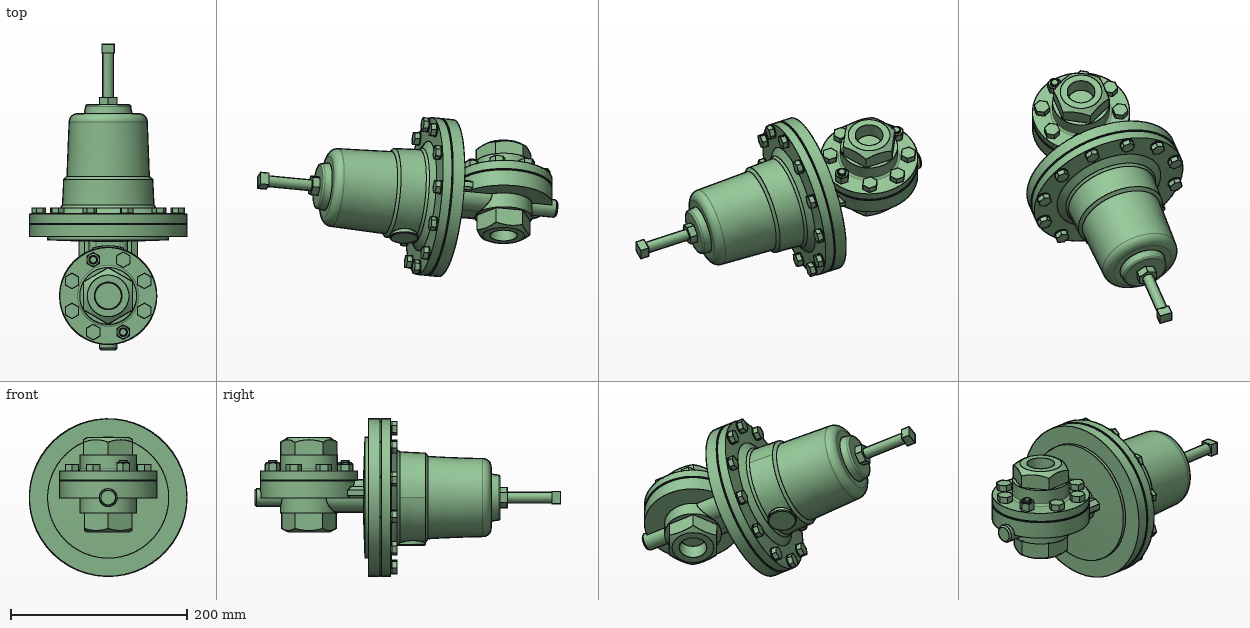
import cadquery as cq
import math


screw_end_y = 286.0
screw_head_length = 10.0
screw_head_side = 14.2
screw_radius = 6.3
lock_nut_flats = 20.0
lock_nut_height = 8.5
bonnet_top_y = 217.0
cap_top_radius = 25.7
cap_base_radius = 27.0
cap_edge_fillet = 2.0
shoulder_y = 207.0
dome_radius = 44.5
dome_round = 9.7
upper_base_y = 135.5
upper_base_radius = 47.0
step_y = 132.5
step_radius = 50.7
lower_base_y = 103.0
lower_base_radius = 52.0
flare_y = 100.0
flare_radius = 54.2
flare_foot_radius = 62.5

flange_radius = 89.5
flange_crown_y = 93.8
flange_rim_y = 92.7
joint_y = 81.5
joint_width = 1.5
joint_depth = 0.7
flange_front_y = 67.5
plate_radius = 68.8
plate_rim_y = 63.5
plate_center_y = 61.0

flange_bolt_count = 12
flange_bolt_circle = 81.5
flange_bolt_corners = 15.5
flange_bolt_top_y = 100.0
flange_bolt_twist = 6
bolt_pad_radius = 7.5
bolt_pad_y = 94.0

vent_y = (step_y + flare_y) / 2
vent_radius = (step_y - flare_y) / 2
vent_bottom_z = -54.2
vent_chamfer = 1.0

valve_radius = 55.2
cover_top_z = 30.2
cover_joint_z = 19.5
body_bottom_z = -0.5
neck_radius = 32.3
neck_flare = 2.5
upper_neck_top_z = 48.5
upper_hex_top_z = 68.5
upper_hex_flats = 55.5
upper_hex_bevel = 5.5
lower_neck_bottom_z = -17.5
lower_hex_bottom_z = -39.2
lower_hex_flats = 54.0
lower_hex_bevel = 4.0
hex_face_radius = 23.5
port_radius = 15.5
port_bottom_radius = 15.0
port_depth = 17.5

cover_bolt_count = 8
cover_bolt_circle = 44.5
cover_bolt_flats = 15.3
cover_bolt_height = 7.3
cover_nut_positions = (2, 6)
cover_nut_flats = 14.2
cover_nut_height = 9.5
cover_nut_bevel = 1.0
stud_radius = 5.0
stud_tip_z = 42.5
stud_chamfer = 1.0

saddle_half_width = 22.0
saddle_top_z = 20.5
saddle_round = 8.5
keel_half_width = 25.7
keel_bottom_z = -16.5
arm_clearance_radius = 57.0
wing_half_width = 33.5
wing_top_half_width = 26.7
wing_bottom_half_width = 30.5
wing_top_z = 13.0
wing_shoulder_z = 8.7
wing_side_bottom_z = 2.5

plug_radius = 10.0
plug_front_y = -61.5
plug_chamfer_length = 2.0
plug_face_radius = 8.5


def corners_from_flats(flats):
    return flats / math.cos(math.pi / 6)


def cylinder_y(radius, y_start, y_end, x=0):
    """Cylinder along Y."""
    return cq.Workplane("XZ", origin=(x, y_start, 0)).circle(radius).extrude(y_start - y_end)


def cylinder_z(radius, z_start, z_end, y=0):
    """Cylinder along Z."""
    return cq.Workplane("XY", origin=(0, y, z_start)).circle(radius).extrude(z_end - z_start)


def hex_z(flats, z_start, z_end):
    """Hexagonal prism along Z with flats facing +X and -X."""
    prism = cq.Workplane("XY").polygon(6, corners_from_flats(flats)).extrude(z_end - z_start)
    return prism.rotate((0, 0, 0), (0, 0, 1), 90).translate((0, 0, z_start))


def bevelled_hex_z(flats, z_start, z_end, face_radius, bevel):
    """Hexagonal prism along Z whose corners are turned off conically at z_end."""
    corner_radius = corners_from_flats(flats) / 2
    bevel_z = z_end - math.copysign(bevel, z_end - z_start)
    turned = (
        cq.Workplane("XZ")
        .moveTo(0, z_start)
        .lineTo(corner_radius, z_start)
        .lineTo(corner_radius, bevel_z)
        .lineTo(face_radius, z_end)
        .lineTo(0, z_end)
        .close()
        .revolve(360, (0, 0, 0), (0, 1, 0))
    )
    return hex_z(flats, z_start, z_end).intersect(turned)


def bonnet_and_flange():
    """Turned shape from the bonnet top to the front of the diaphragm plate."""
    round_mid = dome_round * math.sqrt(0.5)
    round_center_r = dome_radius - dome_round
    round_center_y = shoulder_y - dome_round
    groove_radius = flange_radius - joint_depth
    joint_back_y = joint_y + joint_width / 2
    joint_front_y = joint_y - joint_width / 2
    return (
        cq.Workplane("XY")
        .moveTo(0, bonnet_top_y)
        .lineTo(cap_top_radius - cap_edge_fillet, bonnet_top_y)
        .radiusArc((cap_top_radius, bonnet_top_y - cap_edge_fillet), cap_edge_fillet)
        .lineTo(cap_base_radius, shoulder_y)
        .lineTo(round_center_r, shoulder_y)
        .threePointArc(
            (round_center_r + round_mid, round_center_y + round_mid),
            (dome_radius, round_center_y),
        )
        .lineTo(upper_base_radius, upper_base_y)
        .lineTo(step_radius, step_y)
        .lineTo(lower_base_radius, lower_base_y)
        .lineTo(flare_radius, flare_y)
        .lineTo(flare_foot_radius, flange_crown_y)
        .lineTo(flange_radius, flange_rim_y)
        .lineTo(flange_radius, joint_back_y)
        .lineTo(groove_radius, joint_back_y)
        .lineTo(groove_radius, joint_front_y)
        .lineTo(flange_radius, joint_front_y)
        .lineTo(flange_radius, flange_front_y)
        .lineTo(plate_radius, flange_front_y)
        .lineTo(plate_radius, plate_rim_y)
        .lineTo(0, plate_center_y)
        .close()
        .revolve(360, (0, 0, 0), (0, 1, 0))
    )


def flange_bolts():
    """Ring of hex heads on round pads; each head has the same twist from its radius."""
    step = 360 / flange_bolt_count
    head = (
        cq.Workplane("XZ", origin=(flange_bolt_circle, joint_y, 0))
        .transformed(rotate=(0, 0, flange_bolt_twist))
        .polygon(6, flange_bolt_corners)
        .extrude(joint_y - flange_bolt_top_y)
    )
    pad = cylinder_y(bolt_pad_radius, joint_y + joint_width, bolt_pad_y, x=flange_bolt_circle)
    bolt = head.union(pad)
    ring = cq.Workplane("XY")
    for i in range(flange_bolt_count):
        ring = ring.union(bolt.rotate((0, 0, 0), (0, 1, 0), (i + 0.5) * step))
    return ring


def adjusting_screw():
    """Screw with square head and hex lock nut, standing on the bonnet."""
    rod = cylinder_y(screw_radius, shoulder_y, screw_end_y)
    head_start_y = screw_end_y - screw_head_length
    head = (
        cq.Workplane("XZ", origin=(0, head_start_y, 0))
        .rect(screw_head_side, screw_head_side)
        .extrude(-screw_head_length)
    )
    nut = (
        hex_z(lock_nut_flats, 0, lock_nut_height)
        .rotate((0, 0, 0), (1, 0, 0), -90)
        .translate((0, bonnet_top_y, 0))
    )
    return rod.union(head).union(nut)


def vent_boss():
    boss = cylinder_z(vent_radius, vent_bottom_z, 0, y=vent_y)
    return boss.faces("<Z").chamfer(vent_chamfer)


def valve_body():
    """Round body and cover with necks, hexagonal ends and the joint groove."""
    groove_radius = valve_radius - joint_depth
    joint_top_z = cover_joint_z + joint_width / 2
    joint_bottom_z = cover_joint_z - joint_width / 2
    turned = (
        cq.Workplane("XZ")
        .moveTo(0, upper_neck_top_z)
        .lineTo(neck_radius, upper_neck_top_z)
        .lineTo(neck_radius, cover_top_z + neck_flare)
        .radiusArc((neck_radius + neck_flare, cover_top_z), -neck_flare)
        .lineTo(valve_radius, cover_top_z)
        .lineTo(valve_radius, joint_top_z)
        .lineTo(groove_radius, joint_top_z)
        .lineTo(groove_radius, joint_bottom_z)
        .lineTo(valve_radius, joint_bottom_z)
        .lineTo(valve_radius, body_bottom_z)
        .lineTo(neck_radius, body_bottom_z)
        .lineTo(neck_radius, lower_neck_bottom_z)
        .lineTo(0, lower_neck_bottom_z)
        .close()
        .revolve(360, (0, 0, 0), (0, 1, 0))
    )
    upper_hex = bevelled_hex_z(
        upper_hex_flats, upper_neck_top_z, upper_hex_top_z, hex_face_radius, upper_hex_bevel
    )
    lower_hex = bevelled_hex_z(
        lower_hex_flats, lower_neck_bottom_z, lower_hex_bottom_z, hex_face_radius, lower_hex_bevel
    )
    return turned.union(upper_hex).union(lower_hex)


def port(face_z, bottom_z):
    """Slightly tapered pipe port."""
    return (
        cq.Workplane("XZ")
        .moveTo(0, face_z)
        .lineTo(port_radius, face_z)
        .lineTo(port_bottom_radius, bottom_z)
        .lineTo(0, bottom_z)
        .close()
        .revolve(360, (0, 0, 0), (0, 1, 0))
    )


def cover_bolt():
    return hex_z(cover_bolt_flats, cover_top_z, cover_top_z + cover_bolt_height)


def cover_stud_and_nut():
    nut = bevelled_hex_z(
        cover_nut_flats,
        cover_top_z,
        cover_top_z + cover_nut_height,
        cover_nut_flats / 2,
        cover_nut_bevel,
    )
    stud = cylinder_z(stud_radius, cover_top_z, stud_tip_z).faces(">Z").chamfer(stud_chamfer)
    return nut.union(stud)


def cover_fasteners():
    """Ring of hex heads with two opposite stud nuts; all hexagons keep one orientation."""
    ring = cq.Workplane("XY")
    for i in range(cover_bolt_count):
        angle = (i + 0.5) * 2 * math.pi / cover_bolt_count
        place = (cover_bolt_circle * math.cos(angle), cover_bolt_circle * math.sin(angle), 0)
        fastener = cover_stud_and_nut() if i in cover_nut_positions else cover_bolt()
        ring = ring.union(fastener.translate(place))
    return ring


def arm():
    """Arm along Y: a saddle on top, wings at both sides and a round keel below."""
    keel_round = body_bottom_z - keel_bottom_z
    saddle_center_x = saddle_half_width - saddle_round
    saddle_center_z = saddle_top_z - saddle_round
    keel_center_x = keel_half_width - keel_round
    saddle_mid = saddle_round * math.sqrt(0.5)
    keel_mid = keel_round * math.sqrt(0.5)
    half = (
        cq.Workplane("XZ")
        .moveTo(0, saddle_top_z)
        .lineTo(saddle_center_x, saddle_top_z)
        .threePointArc(
            (saddle_center_x + saddle_mid, saddle_center_z + saddle_mid),
            (saddle_half_width, saddle_center_z),
        )
        .lineTo(saddle_half_width, wing_shoulder_z)
        .lineTo(keel_half_width, body_bottom_z)
        .threePointArc(
            (keel_center_x + keel_mid, body_bottom_z - keel_mid),
            (keel_center_x, keel_bottom_z),
        )
        .lineTo(0, keel_bottom_z)
        .close()
        .extrude(-flange_front_y)
    )
    wing = (
        cq.Workplane("XZ")
        .moveTo(0, wing_top_z)
        .lineTo(wing_top_half_width, wing_top_z)
        .lineTo(wing_half_width, wing_shoulder_z)
        .lineTo(wing_half_width, wing_side_bottom_z)
        .lineTo(wing_bottom_half_width, body_bottom_z)
        .lineTo(0, body_bottom_z)
        .close()
        .extrude(-flange_front_y)
    )
    clearance = cylinder_z(arm_clearance_radius, cover_joint_z, cover_top_z)
    half = half.union(wing)
    return half.union(half.mirror("YZ")).cut(clearance)


def front_plug():
    plug_shoulder_y = plug_front_y + plug_chamfer_length
    return (
        cq.Workplane("XY")
        .lineTo(plug_radius, 0)
        .lineTo(plug_radius, plug_shoulder_y)
        .lineTo(plug_face_radius, plug_front_y)
        .lineTo(0, plug_front_y)
        .close()
        .revolve(360, (0, 0, 0), (0, 1, 0))
    )


result = (
    bonnet_and_flange()
    .union(flange_bolts())
    .union(adjusting_screw())
    .union(vent_boss())
    .union(arm())
    .union(valve_body())
    .union(cover_fasteners())
    .union(front_plug())
    .cut(port(upper_hex_top_z, upper_hex_top_z - port_depth))
    .cut(port(lower_hex_bottom_z, lower_hex_bottom_z + port_depth))
)